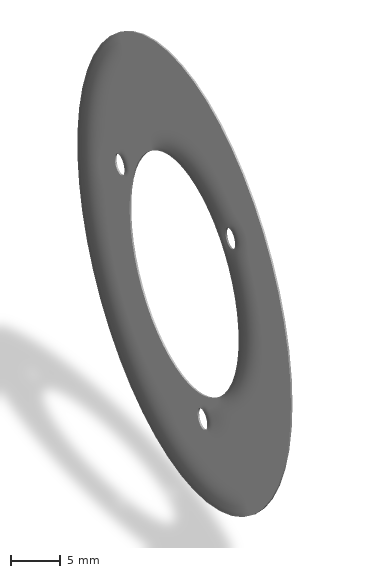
import cadquery as cq

outer_diameter = 50.8
bore_diameter = 25.9
thickness = 0.18

hole_count = 3
hole_diameter = 2.3
hole_circle_radius = 15.8
first_hole_angle = 46.0


def make_ring():
    return (
        cq.Workplane("XZ")
        .circle(outer_diameter / 2)
        .circle(bore_diameter / 2)
        .extrude(thickness / 2, both=True)
    )


def make_hole_cutters():
    return (
        cq.Workplane("XZ")
        .polarArray(hole_circle_radius, first_hole_angle, 360, hole_count)
        .circle(hole_diameter / 2)
        .extrude(thickness, both=True)
    )


result = make_ring().cut(make_hole_cutters())